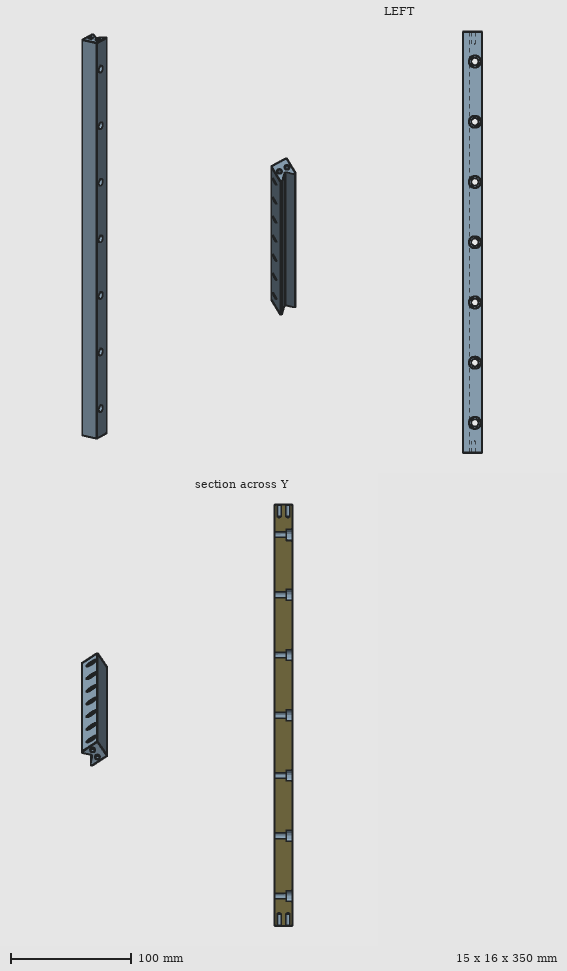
import cadquery as cq
import math

WIDTH = 15.0
HEIGHT = 16.0
LENGTH = 350.0

GROOVE_OPENING = 12.0
GROOVE_FLOOR = 1.4
GROOVE_DEPTH = (GROOVE_OPENING - GROOVE_FLOOR) / 2

EDGE_CHAMFER = 0.5

HOLE_PITCH = 50.0
HOLE_COUNT = 7
HOLE_ABOVE_BACK = 6.0
HOLE_DIAMETER = 6.0
COUNTERBORE_DIAMETER = 9.5
COUNTERBORE_DEPTH = 5.2
COUNTERBORE_RIM_CHAMFER = 0.4

END_HOLE_SPACING = 7.2
END_HOLE_ABOVE_BACK = 7.5
END_HOLE_DIAMETER = 3.3
END_HOLE_DEPTH = 10.0
END_HOLE_MOUTH_DIAMETER = 4.3
DRILL_POINT_ANGLE = 118.0

HALF_WIDTH = WIDTH / 2
BACK_Y = -HEIGHT / 2
FRONT_Y = HEIGHT / 2


def make_bar():
    """Rectangular bar with all twelve edges chamfered."""
    return cq.Workplane("XY").box(WIDTH, HEIGHT, LENGTH).edges().chamfer(EDGE_CHAMFER)


def make_groove():
    """Trapezoidal prism removed along the whole +Y face."""
    half_opening = GROOVE_OPENING / 2
    half_floor = GROOVE_FLOOR / 2
    floor_y = FRONT_Y - GROOVE_DEPTH
    return (
        cq.Workplane("XY")
        .workplane(offset=-LENGTH / 2)
        .moveTo(-half_opening, FRONT_Y)
        .lineTo(half_opening, FRONT_Y)
        .lineTo(half_floor, floor_y)
        .lineTo(-half_floor, floor_y)
        .close()
        .extrude(LENGTH)
    )


def make_mounting_hole():
    """Solid shape of one mounting hole on the X axis, stepped down from the -X face to the +X face."""
    bore_radius = HOLE_DIAMETER / 2
    counterbore_radius = COUNTERBORE_DIAMETER / 2
    seat_x = -HALF_WIDTH + COUNTERBORE_DEPTH
    return (
        cq.Workplane("XY")
        .moveTo(-HALF_WIDTH, 0)
        .lineTo(-HALF_WIDTH, counterbore_radius + COUNTERBORE_RIM_CHAMFER)
        .lineTo(-HALF_WIDTH + COUNTERBORE_RIM_CHAMFER, counterbore_radius)
        .lineTo(seat_x, counterbore_radius)
        .lineTo(seat_x, bore_radius)
        .lineTo(HALF_WIDTH, bore_radius)
        .lineTo(HALF_WIDTH, 0)
        .close()
        .revolve(360, (0, 0, 0), (1, 0, 0))
    )


def drill_mounting_holes(rail):
    """Evenly spaced mounting holes, centred on the rail's length."""
    first_z = -HOLE_PITCH * (HOLE_COUNT - 1) / 2
    y = BACK_Y + HOLE_ABOVE_BACK
    for index in range(HOLE_COUNT):
        hole = make_mounting_hole().translate((0, y, first_z + index * HOLE_PITCH))
        rail = rail.cut(hole)
    return rail


def make_end_hole():
    """Solid shape of one end hole, with its mouth at the origin and its point toward -Z."""
    radius = END_HOLE_DIAMETER / 2
    mouth_radius = END_HOLE_MOUTH_DIAMETER / 2
    mouth_depth = mouth_radius - radius
    point_length = radius / math.tan(math.radians(DRILL_POINT_ANGLE / 2))
    return (
        cq.Workplane("XZ")
        .lineTo(mouth_radius, 0)
        .lineTo(radius, -mouth_depth)
        .lineTo(radius, -END_HOLE_DEPTH)
        .lineTo(0, -END_HOLE_DEPTH - point_length)
        .close()
        .revolve(360, (0, 0, 0), (0, 1, 0))
    )


def drill_end_holes(rail):
    """Two blind holes side by side in the +Z end, and their mirror images in the -Z end."""
    y = BACK_Y + END_HOLE_ABOVE_BACK
    for x in (-END_HOLE_SPACING / 2, END_HOLE_SPACING / 2):
        hole = make_end_hole().translate((x, y, LENGTH / 2))
        rail = rail.cut(hole).cut(hole.mirror("XY"))
    return rail


result = make_bar().cut(make_groove())
result = drill_mounting_holes(result)
result = drill_end_holes(result)